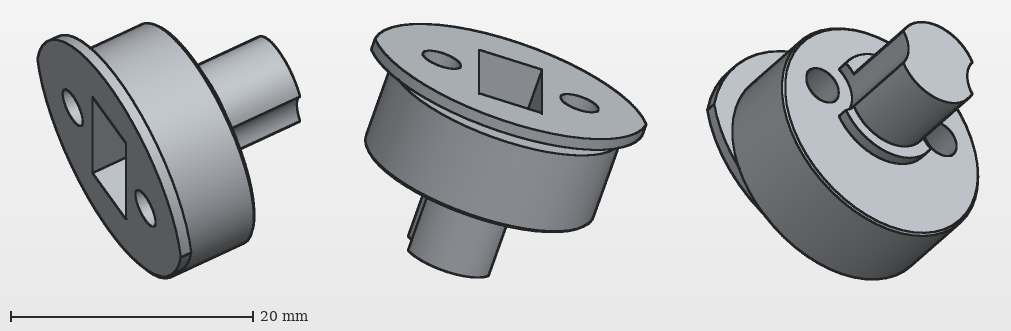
import cadquery as cq

flange_length = 23.65
flange_height = 20.0
flange_thickness = 1.0

body_diameter = flange_height
body_drop = 2.0
body_depth = 7.22
body_chamfer = 0.2

collar_diameter = body_diameter / 2
collar_depth = flange_thickness
shaft_diameter = 7.8
shaft_depth = 7.0

hole_spacing = 12.0
hole_diameter = 3.31
head_clearance_diameter = 6.0

pocket_width = 5.5
pocket_height = 10.5
pocket_depth = 5.25

body_back = flange_thickness + body_depth
collar_back = body_back + collar_depth


def plane_at(y):
    """Plane at depth y whose normal points to +Y and local y to +Z."""
    return cq.Workplane(cq.Plane(origin=(0, y, 0), xDir=(-1, 0, 0), normal=(0, 1, 0)))


def disc(y, diameter, depth, x=0, z=0):
    """Cylinder along +Y starting at depth y."""
    return plane_at(y).center(-x, z).circle(diameter / 2).extrude(depth)


def make_flange():
    half_length = flange_length / 2
    half_height = flange_height / 2
    return (
        plane_at(0)
        .moveTo(-half_length, 0)
        .threePointArc((0, half_height), (half_length, 0))
        .threePointArc((0, -half_height), (-half_length, 0))
        .close()
        .extrude(flange_thickness)
    )


def make_body():
    body = disc(flange_thickness, body_diameter, body_depth, z=-body_drop)
    return body.faces(">Y").chamfer(body_chamfer)


def make_stem():
    """Collar and shaft with a concave groove around each screw axis."""
    stem = disc(body_back, collar_diameter, collar_depth)
    stem = stem.union(disc(collar_back, shaft_diameter, shaft_depth))
    for side in (-1, 1):
        stem = stem.cut(
            disc(body_back, head_clearance_diameter, collar_depth + shaft_depth, x=side * hole_spacing / 2)
        )
    return stem


result = make_flange().union(make_body()).union(make_stem())

for side in (-1, 1):
    result = result.cut(disc(0, hole_diameter, body_back, x=side * hole_spacing / 2))

result = result.cut(plane_at(0).rect(pocket_width, pocket_height).extrude(pocket_depth))